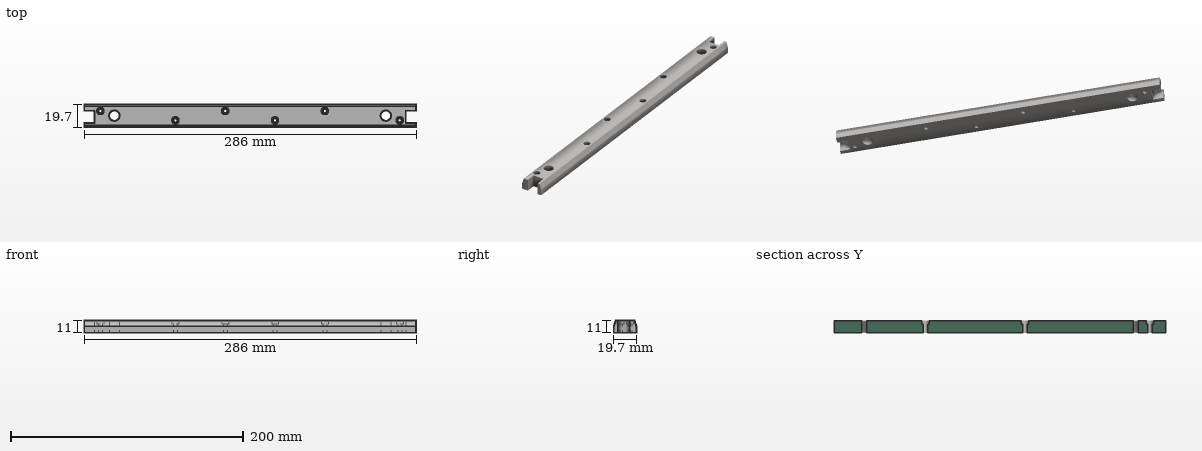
import cadquery as cq

length = 286.0
width = 19.7
height = 11.0
bevel_height = 5.1
bevel_inset = 1.7

notch_depth = 9.0
notch_width = 10.3
notch_center_y = -1.1

large_hole_diameter = 9.0
large_hole_end_distance = 26.0

screw_hole_diameter = 3.5
counterbore_diameter = 6.0
counterbore_depth = 3.1
screw_row_offset = 4.0
screw_pitch = 43.0
end_screw_x = 129.0


def make_body():
    """Rail with vertical lower sides and sloping upper sides."""
    half_base = width / 2
    half_top = half_base - bevel_inset
    shoulder_z = height - bevel_height
    section = [
        (-half_base, 0),
        (half_base, 0),
        (half_base, shoulder_z),
        (half_top, height),
        (-half_top, height),
        (-half_base, shoulder_z),
    ]
    return cq.Workplane("YZ").polyline(section).close().extrude(length / 2, both=True)


def cut_end_notches(body):
    notch_center_x = (length - notch_depth) / 2
    notches = (
        cq.Workplane("XY")
        .pushPoints([(side * notch_center_x, notch_center_y) for side in (-1, 1)])
        .rect(notch_depth, notch_width)
        .extrude(height)
    )
    return body.cut(notches)


def cut_large_holes(body):
    hole_x = length / 2 - large_hole_end_distance
    holes = (
        cq.Workplane("XY")
        .pushPoints([(-hole_x, 0), (hole_x, 0)])
        .circle(large_hole_diameter / 2)
        .extrude(height)
    )
    return body.cut(holes)


def cut_screw_holes(body):
    inner_x = [step * screw_pitch for step in (-1.5, -0.5, 0.5, 1.5)]
    screw_x = [-end_screw_x, *inner_x, end_screw_x]
    row_sides = [1, -1, 1, -1, 1, -1]
    points = [(x, side * screw_row_offset) for x, side in zip(screw_x, row_sides)]
    return (
        body.faces(">Z")
        .workplane(origin=(0, 0, height))
        .pushPoints(points)
        .cboreHole(screw_hole_diameter, counterbore_diameter, counterbore_depth)
    )


rail = make_body()
rail = cut_end_notches(rail)
rail = cut_large_holes(rail)
result = cut_screw_holes(rail)